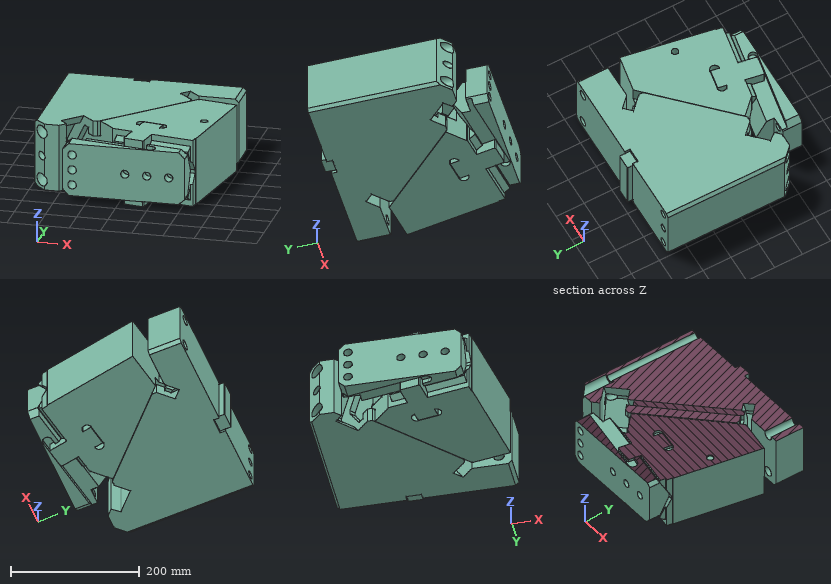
import cadquery as cq
import math

OVERALL_X = 293.0
OVERALL_Y = 284.0
THICKNESS = 110.0
HALF_THICKNESS = THICKNESS / 2

GUIDE_SLOPE = math.tan(math.radians(35))
GUIDE_HALF_FLAT = 3.0
LIP_FACE = 15.8
SLIDER_FACE = 16.5
HOOK_INNER = -3.2
TONGUE_SHOULDER = -14.5
TONGUE_HALF = 40.0
NECK_HALF = 30.2
LIP_START, LIP_END = 117.8, 298.0
SLIDER_START, SLIDER_END = 127.7, 303.2
HOOK_WALL = 77.0
UPPER_WALL = 315.8

BASE_RIGHT = 290.3
BASE_TOP = 274.5
BASE_BOTTOM = 44.8
ARM_BOTTOM = 220.3
LOWER_FLOOR, UPPER_FLOOR = -16.7, -20.8
FLOOR_STEP = 11.0
CORNER_CUT = 20.5
HOOK_TIP = (53.3, 54.2)
HOOK_FOOT_X = 43.6
LIP_FLAT_Y = 76.0
LIP_FLAT_X = 218.2
LEFT_CHAMFER, RIGHT_CHAMFER = 5.0, 5.5
BOLT_X, BOLT_Z = 15.0, 39.8
BOLT_RADIUS, DOWEL_RADIUS = 6.7, 6.5
BORE_RADIUS = 10.0
BORE_END = 102.5
ARM_HOLE_X, ARM_HOLE_Z = 269.5, 37.5
ARM_HOLE_RADIUS = 8.2
KEY_LEFT, KEY_WIDTH = 111.5, 25.2
KEY_BOTTOM = 265.0
KEY_HALF_LENGTH = 49.5
KEY_CHAMFER = 1.0

TILT = math.radians(10)
EDGE_M = 72.6
TOP_M = 243.5
EDGE_START = 117.2
SLIDER_A_END = (OVERALL_X - TOP_M * math.sin(TILT)) / math.cos(TILT)
RIDGE_M = 81.7
RIDGE_HALF_FLAT = 3.0
RIDGE_SLOPE = math.tan(math.radians(30))

HEEL_STEP, HEEL_HEIGHT = 1.2, 10.8
SKIRT_REACH = 10.0
SKIRT_ROOT_HALF, SKIRT_TIP_HALF = 44.8, 38.5
SKIRT_START, SKIRT_END_GAP = 7.0, 4.7
TAB_OFFSET, TAB_WIDTH, TAB_REACH = 32.8, 33.7, 32.5
TAB_CORNER = 1.8
RELIEF_RADIUS = 8.0
RELIEF_SETBACK = 38.5
RELIEF_GROOVE = 1.0
SLOT_HALF, SLOT_DEPTH = 18.2, 26.0
SLOT_N_START, SLOT_N_END = 5.5, 35.2
SLOT_STEP_N, SLOT_STEP_HALF = 10.3, 14.5
PIN_HOLE = (259.8, 114.8)
PIN_HOLE_RADIUS, PIN_HOLE_DEPTH = 5.5, 17.5

DRIVER_LEFT, DRIVER_RIGHT = 60.0, 255.7
DRIVER_HALF = 43.5
DRIVER_CHAMFER = 9.7
STEP_X, STEP_Y = 87.3, 35.0
RECESS_HALF = 35.5
RECESS_M, RECESS_WIDTH = 36.3, 15.2
RECESS_END = 201.5
MOUNT_X, MOUNT_PITCH, MOUNT_RADIUS = 75.3, 25.0, 6.7
TAPPED_X, TAPPED_PITCH, TAPPED_RADIUS, TAPPED_DEPTH = 159.7, 35.2, 6.5, 17.5

FAR = 175.8


def guide_point(n, t):
    """XY position of a point given in the slanted guide's n and t."""
    return ((t + n) / math.sqrt(2), (t - n) / math.sqrt(2))


def tilt_point(a, m):
    """XY position of a point given in the tilted guide's a and m."""
    return (
        a * math.cos(TILT) + m * math.sin(TILT),
        m * math.cos(TILT) - a * math.sin(TILT),
    )


def plate(points, half_height):
    """XY outline extruded equally to both sides of Z = 0."""
    return cq.Workplane("XY").polyline(points).close().extrude(half_height, both=True)


def slab(points, z_from, z_to):
    """XY outline extruded between two heights."""
    return cq.Workplane("XY").workplane(offset=z_from).polyline(points).close().extrude(z_to - z_from)


def mirrored_section(half_points):
    """Adds the mirror image in Z to half an outline that starts and ends away from Z = 0."""
    return half_points + [(across, -z) for across, z in reversed(half_points)]


def guide_prism(half_points, t_from, t_to):
    """Section given in n and Z, run along the slanted guide."""
    plane = cq.Plane(origin=(*guide_point(0, t_from), 0), xDir=(1, -1, 0), normal=(1, 1, 0))
    return cq.Workplane(plane).polyline(mirrored_section(half_points)).close().extrude(t_to - t_from)


def tilt_prism(half_points, a_from, a_to):
    """Section given in m and Z, run along the tilted guide."""
    plane = cq.Plane(
        origin=(*tilt_point(a_from, 0), 0),
        xDir=(math.sin(TILT), math.cos(TILT), 0),
        normal=(math.cos(TILT), -math.sin(TILT), 0),
    )
    return cq.Workplane(plane).polyline(mirrored_section(half_points)).close().extrude(a_to - a_from)


def y_hole(x, z, radius, y_from, y_to):
    """Cylinder along Y used to bore a hole."""
    return cq.Workplane("XZ", origin=(x, y_from, z)).circle(radius).extrude(y_from - y_to)


def v_floor(shoulder_n, shoulder_z):
    """Half section of the V below a shoulder, from the shoulder to the flat at the bottom."""
    bottom = shoulder_n - GUIDE_SLOPE * (shoulder_z - GUIDE_HALF_FLAT)
    return [(shoulder_n, shoulder_z), (bottom, GUIDE_HALF_FLAT)]


def tongue_section():
    """Half section of the slider tongue: neck, T-shaped sides and V."""
    return [
        (SLIDER_FACE, NECK_HALF),
        (HOOK_INNER, NECK_HALF),
        (HOOK_INNER, TONGUE_HALF),
        *v_floor(TONGUE_SHOULDER, TONGUE_HALF),
    ]


def base_outline():
    corner_wall_y = BASE_BOTTOM + CORNER_CUT
    arm_corner_x = UPPER_WALL * math.sqrt(2) - ARM_BOTTOM
    lip_offset = LIP_FACE * math.sqrt(2)
    lip_flat_x = LIP_START * math.sqrt(2) - LIP_FLAT_Y
    lip_flat_y = LIP_END * math.sqrt(2) - LIP_FLAT_X
    return [
        (0, corner_wall_y),
        (0, BASE_TOP),
        (BASE_RIGHT, BASE_TOP),
        (BASE_RIGHT, ARM_BOTTOM),
        (arm_corner_x, ARM_BOTTOM),
        guide_point(UPPER_FLOOR, UPPER_WALL),
        guide_point(UPPER_FLOOR, LIP_END),
        (LIP_FLAT_X, lip_flat_y),
        (LIP_FLAT_X, LIP_FLAT_X - lip_offset),
        (LIP_FLAT_Y + lip_offset, LIP_FLAT_Y),
        (lip_flat_x, LIP_FLAT_Y),
        guide_point(LOWER_FLOOR, LIP_START),
        guide_point(LOWER_FLOOR, HOOK_WALL),
        HOOK_TIP,
        (HOOK_FOOT_X, BASE_BOTTOM),
        (CORNER_CUT, BASE_BOTTOM),
    ]


def chamfer_wedges(edge_x, inward):
    """Two wedges that chamfer the long edges of a side face at the outer Z faces."""
    profile = [
        (edge_x, HALF_THICKNESS),
        (edge_x + inward, HALF_THICKNESS),
        (edge_x, HALF_THICKNESS - abs(inward)),
    ]
    upper = cq.Workplane("XZ").polyline(profile).close().extrude(-OVERALL_Y)
    return upper.union(upper.mirror("XY"))


def notch_clearance(floor_n, t_from, t_to):
    """V-shaped undercut that deepens a notch toward mid thickness."""
    opening = (LIP_FACE, HALF_THICKNESS)
    return guide_prism([opening, *v_floor(floor_n, HALF_THICKNESS)], t_from, t_to)


def lower_floor_step():
    """Step that deepens the lower notch over the width of the tongue."""
    shoulder = LOWER_FLOOR - FLOOR_STEP - GUIDE_SLOPE * (HALF_THICKNESS - TONGUE_HALF)
    section = [(0, TONGUE_HALF), *v_floor(shoulder, TONGUE_HALF)]
    return guide_prism(section, HOOK_WALL, LIP_START)


def key():
    width_centre = KEY_LEFT + KEY_WIDTH / 2
    length_y = OVERALL_Y - KEY_BOTTOM
    return (
        cq.Workplane("XY")
        .box(KEY_WIDTH, length_y, 2 * KEY_HALF_LENGTH)
        .edges("|Z and >Y")
        .chamfer(KEY_CHAMFER)
        .translate((width_centre, KEY_BOTTOM + length_y / 2, 0))
    )


def make_base():
    body = plate(base_outline(), HALF_THICKNESS)
    body = body.cut(chamfer_wedges(0, LEFT_CHAMFER))
    body = body.cut(chamfer_wedges(BASE_RIGHT, -RIGHT_CHAMFER))

    body = body.cut(guide_prism(tongue_section(), LIP_START, UPPER_WALL))
    body = body.cut(notch_clearance(LOWER_FLOOR, HOOK_WALL, LIP_START))
    body = body.cut(notch_clearance(UPPER_FLOOR, LIP_END, UPPER_WALL))
    body = body.cut(lower_floor_step())

    for z in (-BOLT_Z, BOLT_Z):
        body = body.cut(y_hole(BOLT_X, z, BOLT_RADIUS, 0, BASE_TOP))
        body = body.cut(y_hole(BOLT_X, z, BORE_RADIUS, 0, BORE_END))
    body = body.cut(y_hole(BOLT_X, 0, DOWEL_RADIUS, 0, BASE_TOP))
    for z in (-ARM_HOLE_Z, ARM_HOLE_Z):
        body = body.cut(y_hole(ARM_HOLE_X, z, ARM_HOLE_RADIUS, ARM_BOTTOM, BASE_TOP))

    key_right = KEY_LEFT + KEY_WIDTH
    keyway = [
        (KEY_LEFT, KEY_BOTTOM),
        (key_right, KEY_BOTTOM),
        (key_right, BASE_TOP),
        (KEY_LEFT, BASE_TOP),
    ]
    return body.cut(plate(keyway, HALF_THICKNESS)).union(key())


def ridge_section():
    """Half section of the driver: flat side, then the V up to the ridge."""
    shoulder_m = RIDGE_M - RIDGE_SLOPE * (DRIVER_HALF - RIDGE_HALF_FLAT)
    return [(-FAR, DRIVER_HALF), (shoulder_m, DRIVER_HALF), (RIDGE_M, RIDGE_HALF_FLAT)]


def far_edge_t(n):
    """Where the line at a given n meets the slider's far edge."""
    lean = math.cos(TILT) - math.sin(TILT)
    return (TOP_M * math.sqrt(2) + n * lean) / (math.cos(TILT) + math.sin(TILT))


def far_edge_n(t):
    """Where the line at a given t meets the slider's far edge."""
    lean = math.cos(TILT) - math.sin(TILT)
    return (t * (math.cos(TILT) + math.sin(TILT)) - TOP_M * math.sqrt(2)) / lean


def slider_plate():
    """Body on the slider's side of the slanted face."""
    corner_x, corner_y = tilt_point(EDGE_START, EDGE_M)
    heel_a = SLIDER_A_END - HEEL_STEP
    heel_m = EDGE_M + HEEL_HEIGHT
    outline = [
        guide_point(SLIDER_FACE, SLIDER_START),
        (corner_x, SLIDER_START * math.sqrt(2) - corner_x),
        (corner_x, corner_y),
        tilt_point(heel_a, EDGE_M),
        tilt_point(heel_a, heel_m),
        tilt_point(SLIDER_A_END, heel_m),
        tilt_point(SLIDER_A_END, TOP_M),
        guide_point(SLIDER_FACE, far_edge_t(SLIDER_FACE)),
    ]
    return plate(outline, HALF_THICKNESS)


def neck_tip():
    """Wedge of the neck that runs past the end of the tongue up to the slider's far edge."""
    outline = [
        guide_point(SLIDER_FACE, SLIDER_END),
        guide_point(far_edge_n(SLIDER_END), SLIDER_END),
        guide_point(SLIDER_FACE, far_edge_t(SLIDER_FACE)),
    ]
    return plate(outline, NECK_HALF)


def skirt():
    """Sloped lip below each outer face that reaches toward the driver."""
    tip_m = EDGE_M - SKIRT_REACH
    section = [(EDGE_M, SKIRT_ROOT_HALF), (tip_m, SKIRT_TIP_HALF)]
    return tilt_prism(section, EDGE_START + SKIRT_START, SLIDER_A_END - SKIRT_END_GAP)


def tab():
    """Upper tab that hooks into the driver's recess."""
    left = EDGE_START + TAB_OFFSET
    right = left + TAB_WIDTH
    tip = EDGE_M - TAB_REACH
    outline = [
        tilt_point(left, EDGE_M),
        tilt_point(left, tip + TAB_CORNER),
        tilt_point(left + TAB_CORNER, tip),
        tilt_point(right - TAB_CORNER, tip),
        tilt_point(right, tip + TAB_CORNER),
        tilt_point(right, EDGE_M),
    ]
    return slab(outline, RECESS_HALF, HALF_THICKNESS)


def tab_reliefs():
    """Two half-round pockets in the upper face, joined by a thin groove across the tab's root."""
    left = EDGE_START + TAB_OFFSET
    right = left + TAB_WIDTH
    root = EDGE_M + RELIEF_SETBACK
    groove_m = root + RELIEF_RADIUS
    groove = [
        tilt_point(left, groove_m - RELIEF_GROOVE),
        tilt_point(right, groove_m - RELIEF_GROOVE),
        tilt_point(right, groove_m),
        tilt_point(left, groove_m),
    ]
    reliefs = slab(groove, RECESS_HALF, HALF_THICKNESS)
    for side_a, outward in ((left, -1), (right, 1)):
        pocket = (
            cq.Workplane("XY")
            .workplane(offset=RECESS_HALF)
            .moveTo(*tilt_point(side_a, root - RELIEF_RADIUS))
            .threePointArc(
                tilt_point(side_a + outward * RELIEF_RADIUS, root),
                tilt_point(side_a, root + RELIEF_RADIUS),
            )
            .close()
            .extrude(HALF_THICKNESS - RECESS_HALF)
        )
        reliefs = reliefs.union(pocket)
    return reliefs


def end_slot():
    """Central slot in the slider's lower end face, undercut along its inner corners."""
    section = [
        (SLOT_N_END, SLOT_HALF),
        (SLOT_N_START, SLOT_HALF),
        (SLOT_STEP_N, SLOT_STEP_HALF),
    ]
    return guide_prism(section, SLIDER_START, SLIDER_START + SLOT_DEPTH)


def make_slider():
    body = slider_plate()
    body = body.union(guide_prism(tongue_section(), SLIDER_START, SLIDER_END))
    body = body.union(neck_tip())
    body = body.union(skirt())
    body = body.cut(tilt_prism(ridge_section(), 0, OVERALL_X))
    body = body.cut(end_slot())

    upper_tab = tab()
    upper_reliefs = tab_reliefs()
    body = body.union(upper_tab).union(upper_tab.mirror("XY"))
    body = body.cut(upper_reliefs).cut(upper_reliefs.mirror("XY"))

    pin_face = cq.Workplane("XY", origin=(*PIN_HOLE, HALF_THICKNESS))
    return body.cut(pin_face.circle(PIN_HOLE_RADIUS).extrude(-PIN_HOLE_DEPTH))


def driver_block():
    """Chamfered block with a low step on the left and a V ridge toward the slider."""
    blank_y = RIDGE_M / math.cos(TILT)
    block = (
        cq.Workplane("XY")
        .box(DRIVER_RIGHT - DRIVER_LEFT, blank_y, 2 * DRIVER_HALF, centered=(False, False, True))
        .edges("|Y")
        .chamfer(DRIVER_CHAMFER)
        .translate((DRIVER_LEFT, 0, 0))
    )
    step_cut = [
        (DRIVER_LEFT, STEP_Y),
        (STEP_X, STEP_Y),
        (STEP_X, blank_y),
        (DRIVER_LEFT, blank_y),
    ]
    block = block.cut(plate(step_cut, DRIVER_HALF))
    return block.intersect(tilt_prism(ridge_section(), 0, OVERALL_X))


def tab_recess():
    """Upper recess that takes the tab: a wide floor up to the tab, then a slot with a round end."""
    wide_end = EDGE_START + TAB_OFFSET + TAB_WIDTH
    radius = RECESS_WIDTH / 2
    wide = [
        tilt_point(0, RECESS_M),
        tilt_point(wide_end, RECESS_M),
        tilt_point(wide_end, RIDGE_M),
        tilt_point(0, RIDGE_M),
    ]
    slot = (
        cq.Workplane("XY")
        .workplane(offset=RECESS_HALF)
        .moveTo(*tilt_point(0, RECESS_M))
        .lineTo(*tilt_point(RECESS_END - radius, RECESS_M))
        .threePointArc(
            tilt_point(RECESS_END, RECESS_M + radius),
            tilt_point(RECESS_END - radius, RECESS_M + RECESS_WIDTH),
        )
        .lineTo(*tilt_point(0, RECESS_M + RECESS_WIDTH))
        .close()
        .extrude(DRIVER_HALF - RECESS_HALF)
    )
    return slab(wide, RECESS_HALF, DRIVER_HALF).union(slot)


def make_driver():
    body = driver_block()
    recess = tab_recess()
    body = body.cut(recess).cut(recess.mirror("XY"))
    for step in (-1, 0, 1):
        body = body.cut(y_hole(MOUNT_X, step * MOUNT_PITCH, MOUNT_RADIUS, 0, STEP_Y))
    for index in range(3):
        body = body.cut(y_hole(TAPPED_X + index * TAPPED_PITCH, 0, TAPPED_RADIUS, 0, TAPPED_DEPTH))
    return body


base = make_base()
slider = make_slider()
driver = make_driver()
result = cq.Compound.makeCompound([base.solids().val(), slider.solids().val(), driver.solids().val()])